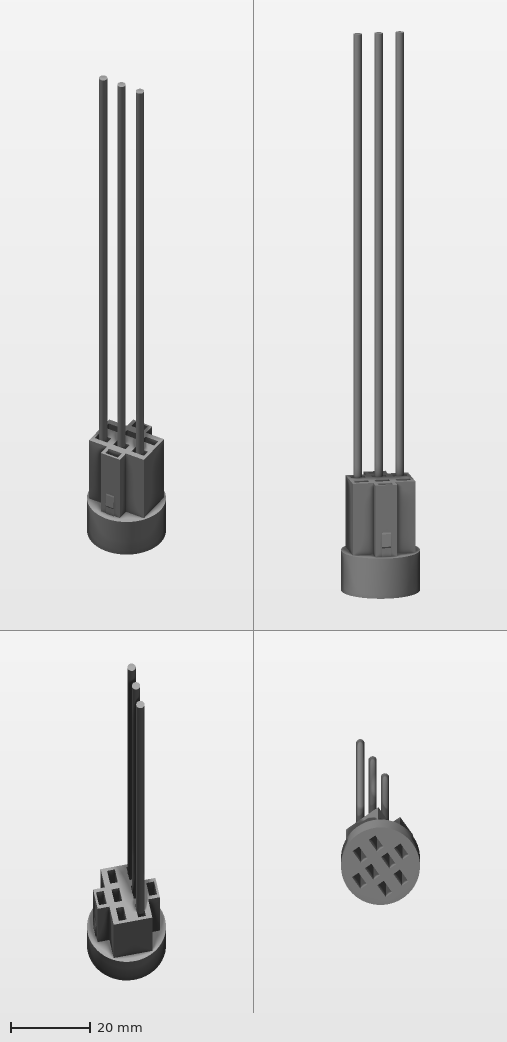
import cadquery as cq

total_height = 144.0

collar_diameter = 20.0
collar_height = 10.4

block_top = 29.0
block_height = block_top - collar_height
block_span = 16.1
core_width = 10.0
arm_width = 5.6

slot_length = 3.7
slot_width = 2.0
column_pitch = 5.4
row_offset = 2.5
arm_slot_offset = 6.5

wire_diameter = 2.1
wire_length = total_height - block_top
wire_row_y = -2.45

latch_width = 2.3
latch_top = 16.7
latch_crest_height = 13.1
edge_slope_height = 0.4
crest_projection = 0.4
foot_projection = 0.2
tip_projection = 0.1

columns = [-column_pitch, 0, column_pitch]


def make_housing():
    """Round collar and cross-shaped block in one piece, with through slots."""
    collar = cq.Workplane("XY").circle(collar_diameter / 2).extrude(collar_height)
    collar_face = cq.Workplane("XY", origin=(0, 0, collar_height))
    core = collar_face.rect(block_span, core_width).extrude(block_height)
    arms = collar_face.rect(arm_width, block_span).extrude(block_height)

    slot_points = [(x, y) for x in columns for y in (-row_offset, row_offset)]
    slot_points += [(0, -arm_slot_offset), (0, arm_slot_offset)]
    slots = (
        cq.Workplane("XY")
        .pushPoints(slot_points)
        .rect(slot_length, slot_width)
        .extrude(block_top)
    )
    return collar.union(core).union(arms).cut(slots)


def make_wire(x):
    """Straight round wire rising from the top face of the block."""
    return (
        cq.Workplane("XY", origin=(x, wire_row_y, block_top))
        .circle(wire_diameter / 2)
        .extrude(wire_length)
    )


def make_latch(side):
    """Tapered latch over a shallower foot, on the -Y (-1) or +Y (+1) arm face."""
    face = side * block_span / 2
    foot = face + side * foot_projection
    crest = face + side * crest_projection
    tip = face + side * tip_projection
    profile = [
        (face, collar_height),
        (foot, collar_height),
        (foot, latch_crest_height - edge_slope_height),
        (crest, latch_crest_height),
        (tip, latch_top - edge_slope_height),
        (face, latch_top),
    ]
    return (
        cq.Workplane("YZ")
        .polyline(profile)
        .close()
        .extrude(latch_width / 2, both=True)
    )


housing = make_housing()
wires = [make_wire(x) for x in columns]
latches = [make_latch(side) for side in (-1, 1)]

bodies = [housing] + wires + latches
result = cq.Compound.makeCompound([body.solids().val() for body in bodies])